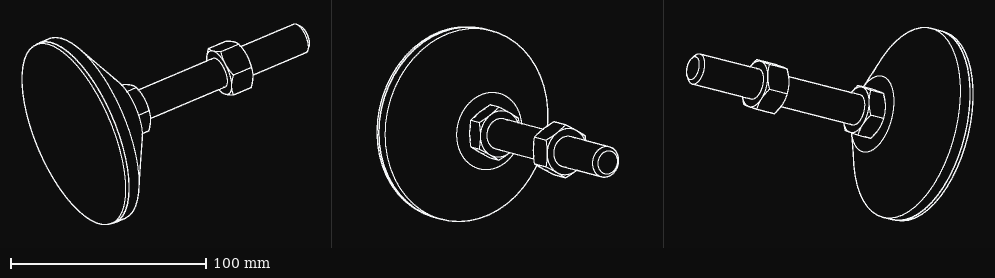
import cadquery as cq
import math

TOTAL_LENGTH = 139.0

BASE_DIAMETER = 100.0
PAD_DIAMETER = 99.5
PAD_HEIGHT = 2.0
RIM_TOP = 8.0
CONE_TOP = 29.0
CONE_TOP_DIAMETER = 40.0

ROD_DIAMETER = 16.0
ROD_CHAMFER = 2.0

NUT_ACROSS_FLATS = 24.0
NUT_CHAMFER_ANGLE = 30.0
HEX_SIDES = 6
HEX_HALF_ANGLE = 180.0 / HEX_SIDES
LOWER_NUT_HEIGHT = 10.0
LOCK_NUT_HEIGHT = 13.0
LOCK_NUT_START = 88.0


def make_base():
    """Conical base with a cylindrical rim and a slightly smaller pad underneath."""
    return (
        cq.Workplane("XY")
        .moveTo(0, 0)
        .lineTo(PAD_DIAMETER / 2, 0)
        .lineTo(PAD_DIAMETER / 2, PAD_HEIGHT)
        .lineTo(BASE_DIAMETER / 2, PAD_HEIGHT)
        .lineTo(BASE_DIAMETER / 2, RIM_TOP)
        .lineTo(CONE_TOP_DIAMETER / 2, CONE_TOP)
        .lineTo(0, CONE_TOP)
        .close()
        .revolve(360, (0, 0, 0), (0, 1, 0))
    )


def make_rod():
    """Plain rod from the top of the base to the chamfered free end."""
    return (
        cq.Workplane("XZ", origin=(0, CONE_TOP, 0))
        .circle(ROD_DIAMETER / 2)
        .extrude(CONE_TOP - TOTAL_LENGTH)
        .faces(">Y")
        .chamfer(ROD_CHAMFER)
    )


def make_nut(start, height):
    """Hexagon from Y = start with two flats facing +X and -X and its corners turned off at both ends."""
    corner_radius = NUT_ACROSS_FLATS / 2 / math.cos(math.radians(HEX_HALF_ANGLE))
    face_radius = NUT_ACROSS_FLATS / 2
    chamfer_height = (corner_radius - face_radius) * math.tan(math.radians(NUT_CHAMFER_ANGLE))
    hexagon = (
        cq.Workplane("XZ", origin=(0, start, 0))
        .transformed(rotate=(0, 0, HEX_HALF_ANGLE))
        .polygon(HEX_SIDES, 2 * corner_radius)
        .extrude(-height)
    )
    turned_envelope = (
        cq.Workplane("XY", origin=(0, start, 0))
        .moveTo(0, 0)
        .lineTo(face_radius, 0)
        .lineTo(corner_radius, chamfer_height)
        .lineTo(corner_radius, height - chamfer_height)
        .lineTo(face_radius, height)
        .lineTo(0, height)
        .close()
        .revolve(360, (0, 0, 0), (0, 1, 0))
    )
    return hexagon.intersect(turned_envelope)


result = (
    make_base()
    .union(make_rod())
    .union(make_nut(CONE_TOP, LOWER_NUT_HEIGHT))
    .union(make_nut(LOCK_NUT_START, LOCK_NUT_HEIGHT))
)